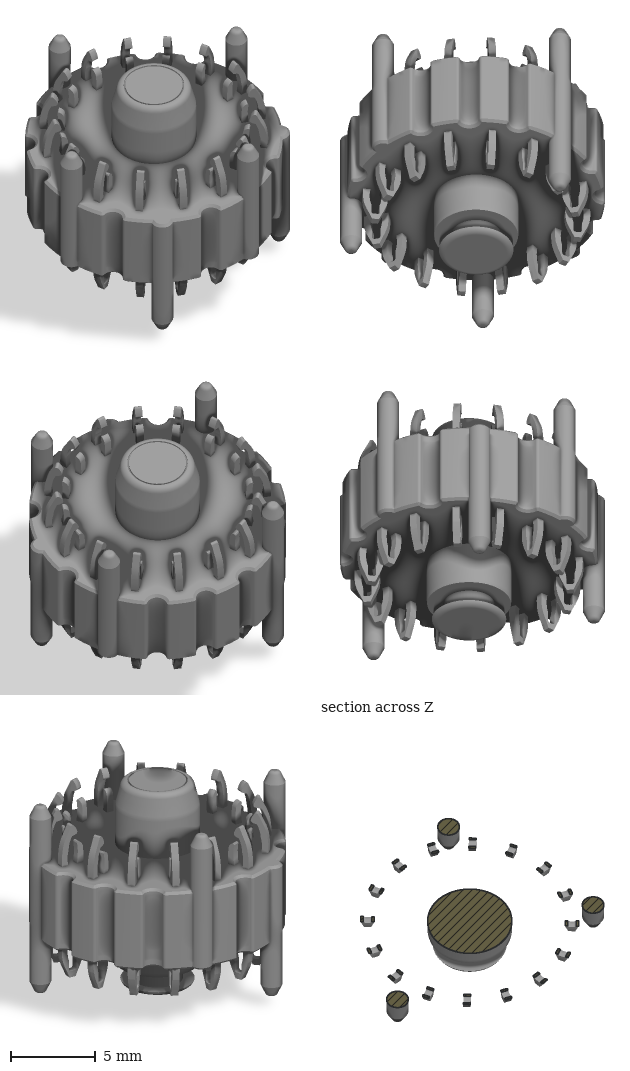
import cadquery as cq
import math

BODY_HEIGHT = 5.0
BODY_RADIUS = 7.6
BODY_CHAMFER = 0.15
BODY_HALF = BODY_HEIGHT / 2

STATION_COUNT = 16
STATION_PITCH = 360 / STATION_COUNT
STATION_RADIUS = 7.382
UP_PIN_STATIONS = (3, 7, 11, 15)
DOWN_PIN_STATIONS = (1, 7, 13)

NOTCH_ROOT_RADIUS = 0.6
NOTCH_LIP_RADIUS = 0.18

PIN_RADIUS = 0.65
PIN_END = 6.0
PIN_CONE_HEIGHT = 0.72
PIN_TIP_RADIUS = 0.38
PIN_TIP_HEIGHT = 0.16
PIN_FLAT_RADIUS = 0.17
PIN_TIP_MID_RADIUS = 0.30
PIN_TIP_MID_DROP = 0.05

POST_RADIUS = 2.5
POST_END = 6.5
POST_SHOULDER_START = 4.9
POST_CONE_START = 5.13
POST_CONE_START_RADIUS = 2.47
POST_CONE_END = 6.2
POST_CONE_END_RADIUS = 2.2
POST_FACE_RADIUS = 1.785
NECK_RADIUS = 1.5
GROOVE_OUTER_RADIUS = POST_FACE_RADIUS
GROOVE_INNER_RADIUS = 1.685
GROOVE_DEPTH = 0.1

CONTACT_COUNT = 16
CONTACT_RADIUS = 6.025
CONTACT_THICKNESS = 0.44
ROOT_Z = BODY_HALF - 0.1
BULGE_Z = 3.0
BLADE_BULGE = 0.75
BLADE_ROOT = 0.725
SLOT_BULGE = 0.355
SLOT_ROOT = 0.27
BEND_Z = 3.5
BLADE_BEND = 0.70
SLOT_BEND = 0.28

FORK_TAPER_Z = 4.28
FORK_TAPER = 0.395
FORK_MID_Z = 3.9
FORK_MID = 0.57
FORK_END_Z = 4.71
FORK_END = 0.205
SLOT_STRAIGHT_Z = 3.65
SLOT_STRAIGHT = 0.25
SLOT_END_Z = 4.32
SLOT_CORNER = 0.14

LEAF_STRAIGHT_Z = 4.41
LEAF_STRAIGHT = 0.40
LEAF_MID_Z = 3.95
LEAF_MID = 0.605
HEAD_SHOULDER = (0.13, 4.95)
HEAD_CROWN = (0.02, 5.03)
HEAD_NOSE_START = (-0.10, 4.98)
HEAD_NOSE_MID = (-0.23, 4.80)
HEAD_NOSE_END = (-0.325, 4.56)
HEAD_CHIN_MID = (-0.30, 4.47)
HEAD_CHIN_END = (-0.22, 4.41)
HEAD_THROAT_START = (-0.10, 4.36)
HEAD_THROAT_END = (0.05, 4.33)
LEAF_THROAT_MID = (0.19, 4.00)
SHORT_LEAF_TOP = 3.89
SHORT_LEAF_SHOULDER = (-0.31, 3.81)
SHORT_LEAF_TOP_OUTER = -0.35
SHORT_LEAF_TOP_INNER = -0.43
SHORT_LEAF_ROUND = (-0.615, 3.76)
SHORT_LEAF_SIDE_Z = 3.55
SHORT_LEAF_SIDE = -0.71


def station_angle(station):
    return (station + 0.5) * STATION_PITCH


def at_station(shape, station):
    """Move a shape built on the Z axis out to a rim station."""
    moved = shape.translate((STATION_RADIUS, 0, 0))
    return moved.rotate((0, 0, 0), (0, 0, 1), station_angle(station))


def polar_point(radius, angle):
    return (radius * math.cos(math.radians(angle)), radius * math.sin(math.radians(angle)))


def lip_layout():
    """Angle from the notch centre to a lip centre, and from there to the lip's start on the root."""
    lip_centre_radius = BODY_RADIUS - NOTCH_LIP_RADIUS
    reach = NOTCH_ROOT_RADIUS + NOTCH_LIP_RADIUS
    cosine = (BODY_RADIUS**2 + lip_centre_radius**2 - reach**2) / (2 * BODY_RADIUS * lip_centre_radius)
    lip_angle = math.degrees(math.acos(cosine))
    lip_x, lip_y = polar_point(lip_centre_radius, lip_angle)
    root_direction = math.degrees(math.atan2(-lip_y, BODY_RADIUS - lip_x))
    return lip_angle, root_direction


def lip_point(station, side, direction):
    """Point on a lip, for side -1 or +1 of a notch; direction is seen from the lip centre."""
    lip_angle, _ = lip_layout()
    turn = station_angle(station)
    centre_x, centre_y = polar_point(BODY_RADIUS - NOTCH_LIP_RADIUS, turn + side * lip_angle)
    offset_x, offset_y = polar_point(NOTCH_LIP_RADIUS, turn + side * direction)
    return (centre_x + offset_x, centre_y + offset_y)


def carrier_disc():
    """Disc with a notch at every rim station that holds no pin."""
    lip_angle, root_direction = lip_layout()
    lip_middle = (lip_angle + root_direction) / 2
    notches = [n for n in range(STATION_COUNT) if n not in UP_PIN_STATIONS + DOWN_PIN_STATIONS]
    last_angle = station_angle(notches[-1]) - 360 + lip_angle
    outline = cq.Workplane("XY", origin=(0, 0, -BODY_HALF)).moveTo(*polar_point(BODY_RADIUS, last_angle))
    for station in notches:
        angle = station_angle(station)
        rim_middle = (last_angle + angle - lip_angle) / 2
        outline = (
            outline.threePointArc(polar_point(BODY_RADIUS, rim_middle), lip_point(station, -1, lip_angle))
            .threePointArc(lip_point(station, -1, lip_middle), lip_point(station, -1, root_direction))
            .threePointArc(
                polar_point(BODY_RADIUS - NOTCH_ROOT_RADIUS, angle), lip_point(station, 1, root_direction)
            )
            .threePointArc(lip_point(station, 1, lip_middle), lip_point(station, 1, lip_angle))
        )
        last_angle = angle + lip_angle
    disc = outline.close().extrude(BODY_HEIGHT)
    return disc.faces("<Z or >Z").chamfer(BODY_CHAMFER)


def pin(points_up, points_down):
    """Pin whose ends are either a cone-shaped tip or flush with the chamfered disc."""
    cone_start = PIN_END - PIN_CONE_HEIGHT
    tip_start = PIN_END - PIN_TIP_HEIGHT
    chamfer_start = BODY_HALF - BODY_CHAMFER
    flush_radius = PIN_RADIUS - BODY_CHAMFER

    low_end = -PIN_END if points_down else -BODY_HALF
    high_end = PIN_END if points_up else BODY_HALF
    outline = cq.Workplane("XZ").moveTo(0, low_end)
    if points_down:
        outline = (
            outline.lineTo(PIN_FLAT_RADIUS, -PIN_END)
            .threePointArc((PIN_TIP_MID_RADIUS, PIN_TIP_MID_DROP - PIN_END), (PIN_TIP_RADIUS, -tip_start))
            .lineTo(PIN_RADIUS, -cone_start)
        )
    else:
        outline = outline.lineTo(flush_radius, -BODY_HALF).lineTo(PIN_RADIUS, -chamfer_start)
    if points_up:
        outline = (
            outline.lineTo(PIN_RADIUS, cone_start)
            .lineTo(PIN_TIP_RADIUS, tip_start)
            .threePointArc((PIN_TIP_MID_RADIUS, PIN_END - PIN_TIP_MID_DROP), (PIN_FLAT_RADIUS, PIN_END))
        )
    else:
        outline = outline.lineTo(PIN_RADIUS, chamfer_start).lineTo(flush_radius, BODY_HALF)
    return outline.lineTo(0, high_end).close().revolve(360, (0, 0, 0), (0, 1, 0))


def central_post():
    profile = (
        cq.Workplane("XZ")
        .lineTo(POST_RADIUS, 0)
        .lineTo(POST_RADIUS, POST_SHOULDER_START)
        .tangentArcPoint((POST_CONE_START_RADIUS, POST_CONE_START), relative=False)
        .lineTo(POST_CONE_END_RADIUS, POST_CONE_END)
        .tangentArcPoint((POST_FACE_RADIUS, POST_END), relative=False)
        .lineTo(0, POST_END)
        .close()
    )
    upper = profile.revolve(360, (0, 0, 0), (0, 1, 0))
    lower = upper.mirror("XY")
    neck_relief = (
        cq.Workplane("XY", origin=(0, 0, -POST_CONE_END))
        .circle(POST_RADIUS)
        .circle(NECK_RADIUS)
        .extrude(POST_CONE_END - POST_CONE_START)
    )
    face_groove = (
        cq.Workplane("XY", origin=(0, 0, POST_END - GROOVE_DEPTH))
        .circle(GROOVE_OUTER_RADIUS)
        .circle(GROOVE_INNER_RADIUS)
        .extrude(GROOVE_DEPTH)
    )
    return upper.cut(face_groove).union(lower.cut(neck_relief))


def plate(outline):
    """Give a closed contact outline its thickness, centred on the radial plane."""
    return outline.close().extrude(CONTACT_THICKNESS / 2, both=True)


def contact_sketch():
    return cq.Workplane("XZ", origin=(CONTACT_RADIUS, 0, 0))


def contact_fork():
    """Closed lower end: a tapered blade with a round-ended slot."""
    blade = plate(
        contact_sketch()
        .moveTo(-BLADE_ROOT, -ROOT_Z)
        .threePointArc((-BLADE_BULGE, -BULGE_Z), (-BLADE_BEND, -BEND_Z))
        .threePointArc((-FORK_MID, -FORK_MID_Z), (-FORK_TAPER, -FORK_TAPER_Z))
        .lineTo(-FORK_END, -FORK_END_Z)
        .lineTo(FORK_END, -FORK_END_Z)
        .lineTo(FORK_TAPER, -FORK_TAPER_Z)
        .threePointArc((FORK_MID, -FORK_MID_Z), (BLADE_BEND, -BEND_Z))
        .threePointArc((BLADE_BULGE, -BULGE_Z), (BLADE_ROOT, -ROOT_Z))
    )
    slot = plate(
        contact_sketch()
        .moveTo(-SLOT_ROOT, -ROOT_Z)
        .threePointArc((-SLOT_BULGE, -BULGE_Z), (-SLOT_STRAIGHT, -SLOT_STRAIGHT_Z))
        .lineTo(-SLOT_STRAIGHT, -SLOT_END_Z)
        .lineTo(SLOT_STRAIGHT, -SLOT_END_Z)
        .lineTo(SLOT_STRAIGHT, -SLOT_STRAIGHT_Z)
        .threePointArc((SLOT_BULGE, -BULGE_Z), (SLOT_ROOT, -ROOT_Z))
    )
    slot = slot.faces("<Z").edges("|Y").fillet(SLOT_CORNER)
    return blade.cut(slot)


def contact_long_leaf():
    return plate(
        contact_sketch()
        .moveTo(BLADE_ROOT, ROOT_Z)
        .threePointArc((BLADE_BULGE, BULGE_Z), (BLADE_BEND, BEND_Z))
        .threePointArc((LEAF_MID, LEAF_MID_Z), (LEAF_STRAIGHT, LEAF_STRAIGHT_Z))
        .lineTo(*HEAD_SHOULDER)
        .threePointArc(HEAD_CROWN, HEAD_NOSE_START)
        .threePointArc(HEAD_NOSE_MID, HEAD_NOSE_END)
        .threePointArc(HEAD_CHIN_MID, HEAD_CHIN_END)
        .lineTo(*HEAD_THROAT_START)
        .lineTo(*HEAD_THROAT_END)
        .threePointArc(LEAF_THROAT_MID, (SLOT_BEND, BEND_Z))
        .threePointArc((SLOT_BULGE, BULGE_Z), (SLOT_ROOT, ROOT_Z))
    )


def contact_short_leaf():
    return plate(
        contact_sketch()
        .moveTo(-BLADE_ROOT, ROOT_Z)
        .threePointArc((-BLADE_BULGE, BULGE_Z), (SHORT_LEAF_SIDE, SHORT_LEAF_SIDE_Z))
        .threePointArc(SHORT_LEAF_ROUND, (SHORT_LEAF_TOP_INNER, SHORT_LEAF_TOP))
        .lineTo(SHORT_LEAF_TOP_OUTER, SHORT_LEAF_TOP)
        .lineTo(*SHORT_LEAF_SHOULDER)
        .threePointArc((-SLOT_BULGE, BULGE_Z), (-SLOT_ROOT, ROOT_Z))
    )


parts = [central_post()]
for station in sorted(set(UP_PIN_STATIONS + DOWN_PIN_STATIONS)):
    station_pin = pin(station in UP_PIN_STATIONS, station in DOWN_PIN_STATIONS)
    parts.append(at_station(station_pin, station))

contact_parts = (contact_fork(), contact_long_leaf(), contact_short_leaf())
for index in range(CONTACT_COUNT):
    angle = index * 360 / CONTACT_COUNT
    for contact_part in contact_parts:
        parts.append(contact_part.rotate((0, 0, 0), (0, 0, 1), angle))

body = carrier_disc().val().fuse(*[part.val() for part in parts])
result = cq.Workplane("XY").newObject([body]).clean()